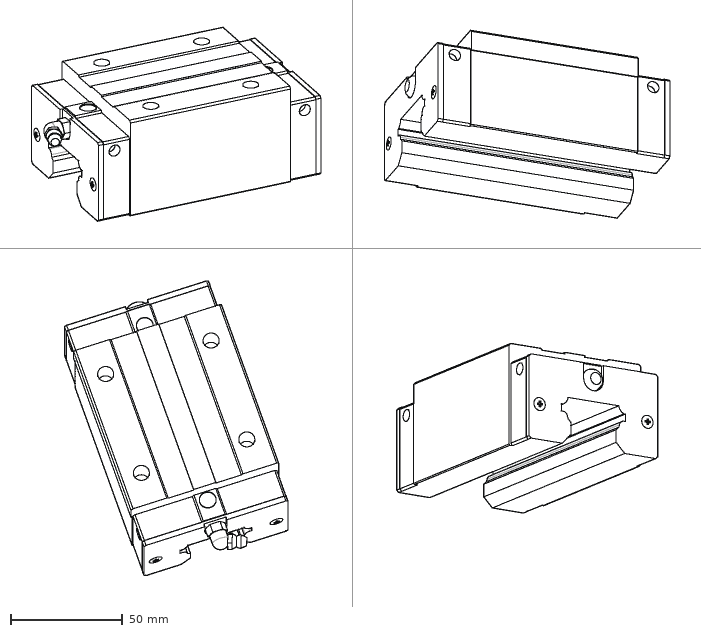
import cadquery as cq
import math


BODY_WIDTH = 70.0
BODY_LENGTH = 80.1
HEIGHT = 47.5
BODY_TOP_CHAMFER = 1.0
BODY_BOTTOM_CHAMFER = 0.5
DATUM_STEP = 0.5
DATUM_STEP_Z = 37.3
GROOVE_DEPTH = 0.8
GROOVE_OUTER_X = 18.1
GROOVE_INNER_X = 5.3

BORE_MOUTH_X = 16.6
BORE_THROAT_X = 12.0
BORE_THROAT_BOTTOM = 4.5
BORE_THROAT_TOP = 10.4
BORE_ROOF_X = 13.4
BORE_ROOF_Z = 21.7
BALL_SLOT_X = 17.0
BALL_SLOT_BOTTOM = 14.9
BALL_SLOT_TOP = 18.3
LOWER_RACE = ((13.8, 12.9), (14.5, 14.3), (16.0, BALL_SLOT_BOTTOM))
UPPER_RACE = ((16.1, BALL_SLOT_TOP), (14.4, 19.6), (BORE_ROOF_X, BORE_ROOF_Z))
RACE_FOOT = (13.4, 11.8)

MOUNT_HOLE_DIAMETER = 7.2
MOUNT_HOLE_DEPTH = 12.0
MOUNT_SPACING = 50.0
DRILL_POINT_ANGLE = 118

CAP_WIDTH = 68.2
PLATE_WIDTH = 68.3
CAP_TOP = 38.9
CAP_END_Y = 53.1
PLATE_TOP = 39.2
PLATE_END_Y = 55.6
END_CHAMFER = 1.0

PAD_TOP = 39.9
PAD_TOP_WIDTH = 10.3
PAD_SLOPE = 0.8
OIL_RECESS_RADIUS = 3.8
OIL_RECESS_DEPTH = 0.5
OIL_RECESS_Y = 44.0

SIDE_HOLE_DIAMETER = 5.4
SIDE_HOLE_DEPTH = 5.0
SIDE_HOLE_Y = 47.6
SIDE_HOLE_Z = 33.9

PORT_Z = 32.0
PORT_WIDTH = 10.4
PORT_FLOOR_Y = 54.2

SCREW_X = 28.6
SCREW_Z = 16.5
SCREW_RADIUS = 3.0
SCREW_HEIGHT = 0.6
CROSS_LENGTH = 2.5
CROSS_WIDTH = 0.6
CROSS_DEPTH = 0.5

PLUG_RADIUS = 5.0
PLUG_RIM_Y = 54.5
PLUG_TIP_Y = 57.6
PLUG_TIP_RADIUS = 2.8
PLUG_BULGE = (4.3, 56.6)

BASE_HEX_FLATS = 8.2
BASE_HEX_END_Y = 58.1
ELBOW_RADIUS = 3.9
ELBOW_Y = 61.9
ARM_ANGLE = 20
ARM_HEX_FLATS = 6.9
ARM_HEX_START = 3.3
ARM_HEX_END = 5.3
COLLAR_RADIUS = 3.4
COLLAR_BULGE = (6.4, 3.0)
NECK_RADIUS = 2.4
NECK_AT = 7.2
HEAD_RADIUS = 3.0
HEAD_BULGE = (8.0, 2.9)
HEAD_END = 9.3
TIP_RADIUS = 1.9
TIP_END = 11.8


def along_y(profile, start_y, end_y):
    """Extrude a profile drawn on XZ from start_y to end_y."""
    return profile.extrude(-(end_y - start_y)).translate((0, start_y, 0))


def at_both_ends(shape):
    """Add the mirror image of a +Y end feature at the -Y end."""
    return shape.union(shape.mirror("XZ"))


def hexagon_diameter(flats):
    """Corner-to-corner size of a hexagon from its size across flats."""
    return flats / math.cos(math.radians(30))


def body_block():
    half = BODY_WIDTH / 2
    low_left = -half + DATUM_STEP
    groove_z = HEIGHT - GROOVE_DEPTH
    groove_side = GROOVE_OUTER_X - GROOVE_DEPTH
    profile = cq.Workplane("XZ").polyline([
        (low_left + BODY_BOTTOM_CHAMFER, 0),
        (half - BODY_BOTTOM_CHAMFER, 0),
        (half, BODY_BOTTOM_CHAMFER),
        (half, HEIGHT - BODY_TOP_CHAMFER),
        (half - BODY_TOP_CHAMFER, HEIGHT),
        (GROOVE_OUTER_X, HEIGHT),
        (groove_side, groove_z),
        (GROOVE_INNER_X, groove_z),
        (GROOVE_INNER_X, HEIGHT),
        (-GROOVE_INNER_X, HEIGHT),
        (-GROOVE_INNER_X, groove_z),
        (-groove_side, groove_z),
        (-GROOVE_OUTER_X, HEIGHT),
        (-half + BODY_TOP_CHAMFER, HEIGHT),
        (-half, HEIGHT - BODY_TOP_CHAMFER),
        (-half, DATUM_STEP_Z),
        (low_left, DATUM_STEP_Z),
        (low_left, BODY_BOTTOM_CHAMFER),
    ]).close()
    return along_y(profile, -BODY_LENGTH / 2, BODY_LENGTH / 2)


def end_block(width, top, start_y, end_y):
    """Plain block at the +Y end, chamfered on its four long edges."""
    length = end_y - start_y
    block = cq.Workplane("XY").box(width, length, top, centered=(True, False, False))
    return block.edges("|Y").chamfer(END_CHAMFER).translate((0, start_y, 0))


def end_assembly():
    """Cap with its raised pad, and the end plate over it, at the +Y end."""
    cap_start = BODY_LENGTH / 2
    cap = end_block(CAP_WIDTH, CAP_TOP, cap_start, CAP_END_Y)
    plate = end_block(PLATE_WIDTH, PLATE_TOP, CAP_END_Y, PLATE_END_Y)
    half_top = PAD_TOP_WIDTH / 2
    half_base = half_top + PAD_SLOPE
    pad_profile = cq.Workplane("XZ").polyline([
        (-half_base, CAP_TOP),
        (half_base, CAP_TOP),
        (half_top, PAD_TOP),
        (-half_top, PAD_TOP),
    ]).close()
    pad = along_y(pad_profile, cap_start, CAP_END_Y)
    return cap.union(plate).union(pad)


def rail_bore():
    """Opening for the rail; two rounded raceways bulge in on each side."""
    half_profile = (
        cq.Workplane("XZ")
        .moveTo(0, 0)
        .lineTo(BORE_MOUTH_X, 0)
        .lineTo(BORE_THROAT_X, BORE_THROAT_BOTTOM)
        .lineTo(BORE_THROAT_X, BORE_THROAT_TOP)
        .lineTo(*RACE_FOOT)
        .lineTo(*LOWER_RACE[0])
        .threePointArc(LOWER_RACE[1], LOWER_RACE[2])
        .lineTo(BALL_SLOT_X, BALL_SLOT_BOTTOM)
        .lineTo(BALL_SLOT_X, BALL_SLOT_TOP)
        .lineTo(*UPPER_RACE[0])
        .threePointArc(UPPER_RACE[1], UPPER_RACE[2])
        .lineTo(0, BORE_ROOF_Z)
        .close()
    )
    half_bore = along_y(half_profile, -PLATE_END_Y, PLATE_END_Y)
    return half_bore.union(half_bore.mirror("YZ"))


def mount_holes():
    radius = MOUNT_HOLE_DIAMETER / 2
    point_length = radius / math.tan(math.radians(DRILL_POINT_ANGLE / 2))
    floor_z = HEIGHT - MOUNT_HOLE_DEPTH
    drill = (
        cq.Workplane("XZ")
        .polyline([(0, floor_z - point_length), (radius, floor_z), (radius, HEIGHT), (0, HEIGHT)])
        .close()
        .revolve(360, (0, 0), (0, 1))
    )
    holes = cq.Workplane("XY")
    for x in (-MOUNT_SPACING / 2, MOUNT_SPACING / 2):
        for y in (-MOUNT_SPACING / 2, MOUNT_SPACING / 2):
            holes = holes.add(drill.translate((x, y, 0)))
    return holes.combine()


def port_recess():
    """Round-bottomed slot open at the top of the +Y end plate."""
    half = PORT_WIDTH / 2
    profile = (
        cq.Workplane("XZ")
        .moveTo(-half, PLATE_TOP)
        .lineTo(-half, PORT_Z)
        .threePointArc((0, PORT_Z - half), (half, PORT_Z))
        .lineTo(half, PLATE_TOP)
        .close()
    )
    return along_y(profile, PORT_FLOOR_Y, PLATE_END_Y)


def side_holes():
    """Blind holes in both sides of the +Y end cap."""
    bar = cq.Workplane("YZ").center(SIDE_HOLE_Y, SIDE_HOLE_Z).circle(SIDE_HOLE_DIAMETER / 2)
    bar = bar.extrude(CAP_WIDTH / 2, both=True)
    core_width = CAP_WIDTH - 2 * SIDE_HOLE_DEPTH
    core = cq.Workplane("XY").box(core_width, 2 * PLATE_END_Y, 2 * HEIGHT)
    return bar.cut(core)


def oil_recess():
    """Shallow round recess in the pad of the +Y end cap."""
    recess = cq.Workplane("XY").circle(OIL_RECESS_RADIUS).extrude(OIL_RECESS_DEPTH)
    return recess.translate((0, OIL_RECESS_Y, PAD_TOP - OIL_RECESS_DEPTH))


def screw_heads():
    """Two domed cross-head screws on the +Y end plate."""
    top_y = PLATE_END_Y + SCREW_HEIGHT
    sphere_radius = (SCREW_RADIUS**2 + SCREW_HEIGHT**2) / (2 * SCREW_HEIGHT)
    sphere_y = top_y - sphere_radius
    mid_x = SCREW_RADIUS / 2
    mid_y = sphere_y + math.sqrt(sphere_radius**2 - mid_x**2)
    head = (
        cq.Workplane("XY")
        .moveTo(0, PORT_FLOOR_Y)
        .lineTo(SCREW_RADIUS, PORT_FLOOR_Y)
        .lineTo(SCREW_RADIUS, PLATE_END_Y)
        .threePointArc((mid_x, mid_y), (0, top_y))
        .close()
        .revolve(360, (0, 0), (0, 1))
    )
    for x_size, z_size in ((CROSS_LENGTH, CROSS_WIDTH), (CROSS_WIDTH, CROSS_LENGTH)):
        slot = cq.Workplane("XY").box(x_size, 2 * CROSS_DEPTH, z_size)
        head = head.cut(slot.translate((0, top_y, 0)))
    left = head.translate((-SCREW_X, 0, SCREW_Z))
    right = head.translate((SCREW_X, 0, SCREW_Z))
    return left.union(right)


def rear_plug():
    plug = (
        cq.Workplane("XY")
        .moveTo(0, CAP_END_Y)
        .lineTo(PLUG_RADIUS, CAP_END_Y)
        .lineTo(PLUG_RADIUS, PLUG_RIM_Y)
        .threePointArc(PLUG_BULGE, (PLUG_TIP_RADIUS, PLUG_TIP_Y))
        .lineTo(0, PLUG_TIP_Y)
        .close()
        .revolve(360, (0, 0), (0, 1))
    )
    return plug.translate((0, 0, PORT_Z))


def nipple_arm():
    """Arm of the nipple along +X, with the elbow centre at the origin."""
    hexagon = (
        cq.Workplane("YZ")
        .polygon(6, hexagon_diameter(ARM_HEX_FLATS))
        .extrude(ARM_HEX_END - ARM_HEX_START)
        .translate((ARM_HEX_START, 0, 0))
    )
    head = (
        cq.Workplane("XY")
        .moveTo(ARM_HEX_START, 0)
        .lineTo(ARM_HEX_START, COLLAR_RADIUS)
        .lineTo(ARM_HEX_END, COLLAR_RADIUS)
        .threePointArc(COLLAR_BULGE, (NECK_AT, NECK_RADIUS))
        .threePointArc(HEAD_BULGE, (HEAD_END, HEAD_RADIUS))
        .lineTo(TIP_END, TIP_RADIUS)
        .lineTo(TIP_END, 0)
        .close()
        .revolve(360, (0, 0), (1, 0))
    )
    return hexagon.union(head)


def grease_nipple():
    """Hexagon base, round elbow and tilted arm at the -Y end."""
    base_hex = cq.Workplane("XZ").polygon(6, hexagon_diameter(BASE_HEX_FLATS))
    base_hex = along_y(base_hex, -BASE_HEX_END_Y, -CAP_END_Y)
    stem = along_y(cq.Workplane("XZ").circle(ELBOW_RADIUS), -ELBOW_Y, -CAP_END_Y)
    elbow = cq.Workplane("XY").sphere(ELBOW_RADIUS).translate((0, -ELBOW_Y, 0))
    arm = nipple_arm().rotate((0, 0, 0), (0, 0, 1), -ARM_ANGLE).translate((0, -ELBOW_Y, 0))
    return base_hex.union(stem).union(elbow).union(arm).translate((0, 0, PORT_Z))


result = body_block().union(at_both_ends(end_assembly()))
result = result.cut(rail_bore())
result = result.cut(mount_holes())
for end_cut in (port_recess(), side_holes(), oil_recess()):
    result = result.cut(at_both_ends(end_cut))
result = result.union(at_both_ends(screw_heads()))
result = result.union(rear_plug())
result = result.union(grease_nipple())